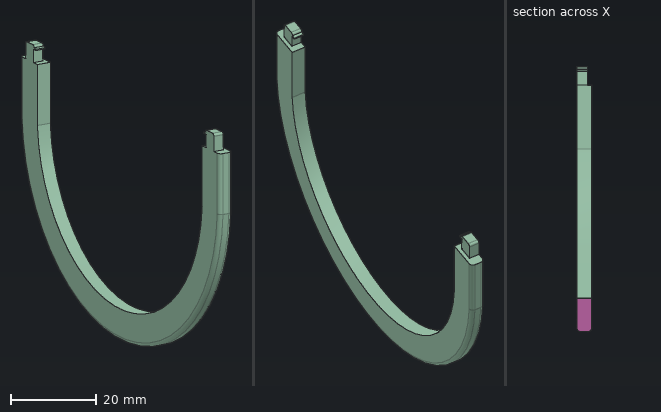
import cadquery as cq

HALF_WIDTH = 45.165
BAND_WIDTH = 7.9
THICKNESS = 3.6
ARM_LENGTH = 15.0
TOTAL_HEIGHT = 62.39
EDGE_RADIUS = 1.0

TAB_HEIGHT = 4.35
TAB_THICKNESS = 2.6
TAB_INSET = 2.5
NECK_WIDTH = 3.6
HEAD_WIDTH = 3.9
HEAD_RADIUS = 0.6
HOOK_REACH = 1.05
HOOK_DROP = 1.1
HOOK_TIP_HEIGHT = 0.3

arc_drop = TOTAL_HEIGHT - ARM_LENGTH - TAB_HEIGHT
inner_half_width = HALF_WIDTH - BAND_WIDTH
inner_drop = arc_drop - BAND_WIDTH
front_y = -THICKNESS / 2


def front_plane():
    """XZ sketch plane on the front face; extruding by a negative depth goes toward +Y."""
    return cq.Workplane("XZ", origin=(0, front_y, 0))


def make_bow():
    bow = (
        front_plane()
        .moveTo(-HALF_WIDTH, ARM_LENGTH)
        .lineTo(-HALF_WIDTH, 0)
        .threePointArc((0, -arc_drop), (HALF_WIDTH, 0))
        .lineTo(HALF_WIDTH, ARM_LENGTH)
        .lineTo(inner_half_width, ARM_LENGTH)
        .lineTo(inner_half_width, 0)
        .threePointArc((0, -inner_drop), (-inner_half_width, 0))
        .lineTo(-inner_half_width, ARM_LENGTH)
        .close()
        .extrude(-THICKNESS)
    )
    return round_outer_edges(bow)


def round_outer_edges(bow):
    """Round the front and back edges that run along the outside of the U."""
    outer_edges = []
    for edge in bow.faces("<Y or >Y").edges().vals():
        middle = edge.positionAt(0.5)
        on_arm = abs(middle.x) > HALF_WIDTH - BAND_WIDTH / 2
        on_arc = middle.z < -arc_drop + BAND_WIDTH / 2
        runs_along_arm = edge.BoundingBox().xlen < BAND_WIDTH / 2
        if on_arc or (on_arm and runs_along_arm):
            outer_edges.append(edge)
    return bow.newObject(outer_edges).fillet(EDGE_RADIUS)


def make_left_tab():
    """Neck with a round-cornered head and a hook that points toward the other arm."""
    outer_x = -HALF_WIDTH + TAB_INSET
    neck_x = outer_x + NECK_WIDTH
    head_x = outer_x + HEAD_WIDTH
    hook_x = neck_x + HOOK_REACH
    top_z = ARM_LENGTH + TAB_HEIGHT
    shoulder_z = top_z - HEAD_RADIUS
    hook_z = top_z - HOOK_DROP
    return (
        front_plane()
        .moveTo(outer_x, ARM_LENGTH)
        .lineTo(outer_x, shoulder_z)
        .radiusArc((outer_x + HEAD_RADIUS, top_z), HEAD_RADIUS)
        .lineTo(head_x - HEAD_RADIUS, top_z)
        .radiusArc((head_x, shoulder_z), HEAD_RADIUS)
        .lineTo(hook_x, hook_z + HOOK_TIP_HEIGHT)
        .lineTo(hook_x, hook_z)
        .lineTo(neck_x, hook_z)
        .lineTo(neck_x, ARM_LENGTH)
        .close()
        .extrude(-TAB_THICKNESS)
    )


left_tab = make_left_tab()
right_tab = left_tab.mirror("YZ")
result = make_bow().union(left_tab).union(right_tab)